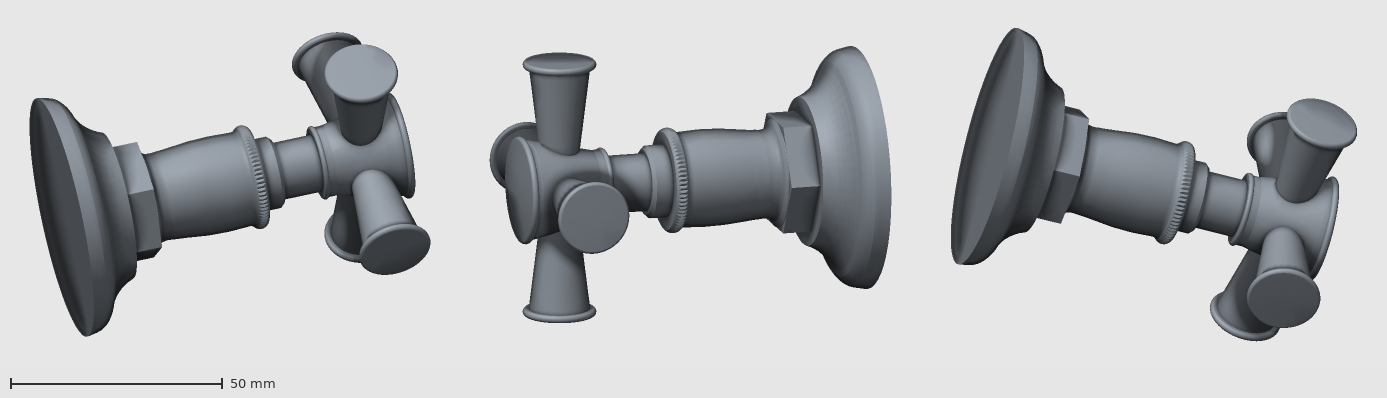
import cadquery as cq
import math


FLANGE_TOP = 13.6
NUT_TOP = 20.5
SLEEVE_TOP = 44.7
RING_TOP = 47.8
COLLAR_TOP = 52.6
HUB_BOTTOM = 62.1
ARM_AXIS = 73.2
HUB_RIM_BOTTOM = 81.5
HUB_RIM_TOP = 83.2
OVERALL_LENGTH = 84.4

FLANGE_RADIUS = 28.8
FLANGE_NECK_RADIUS = 17.6
NUT_CORNER_RADIUS = 14.85
RING_FACE_RADIUS = 11.65
RING_RADIUS = 12.5
COLLAR_RADIUS = 8.6
COLLAR_CHAMFER = 0.85
STEM_RADIUS = 6.8
HUB_LIP_RADIUS = 8.9
HUB_NECK_RADIUS = 8.4
HUB_TOP_RADIUS = 11.9
HUB_RIM_RADIUS = 12.7

FLANGE_SIDE_MIDDLE = (28.4, 1.85)
FLANGE_SIDE_TOP = (27.9, 3.6)
FLANGE_SHOULDER_MIDDLE = (26.9, 4.9)
FLANGE_SHOULDER_TOP = (25.4, 6.0)
FLANGE_HOLLOW_START = (24.0, 6.6)
FLANGE_HOLLOW_MIDDLE = (19.9, 9.6)
SLEEVE_FOOT = (12.8, 20.7)
SLEEVE_FLARE_START = (11.7, 21.3)
SLEEVE_FLARE_MIDDLE = (11.0, 21.8)
SLEEVE_FLARE_END = (10.6, 22.5)
SLEEVE_WAIST = (10.5, 23.6)
SLEEVE_WAIST_END = (10.55, 24.6)
SLEEVE_BELLY_START = (10.9, 28.6)
SLEEVE_BELLY = (11.6, 36.7)
SLEEVE_BELLY_END = (11.3, 43.5)
SLEEVE_COVE_MIDDLE = (11.4, 44.2)
HUB_NECK_START = 63.4
HUB_NECK_END = 65.1
HUB_BODY_TOP = (11.1, 77.5)
HUB_FLARE_TOP = (11.7, 80.25)

TOOTH_COUNT = 72
TOOTH_DEPTH = 0.4

ARM_COUNT = 4
ARM_START = 5.9
ARM_SPAN = 62.2
ARM_TIP = ARM_SPAN / 2
ARM_CAP_START = 29.2
ARM_CAP_EDGE = 30.9
ARM_CAP_RADIUS = 8.7
ARM_CAP_FACE_RADIUS = 8.1
ARM_WIDE_RADIUS = 7.25
ARM_ROOT_RADIUS = 4.4


def revolve_about_stem(profile):
    """Close a profile that starts and ends on the Y axis and turn it about that axis."""
    return profile.close().revolve(360, (0, 0, 0), (0, 1, 0))


def dome_drop(rim_radius, dome_height):
    """Drop of a spherical dome below its crown, halfway from the axis to its rim."""
    sphere_radius = (rim_radius**2 + dome_height**2) / (2 * dome_height)
    return sphere_radius - math.sqrt(sphere_radius**2 - (rim_radius / 2) ** 2)


def make_flange():
    """Escutcheon: a rounded rim that sweeps up in a hollow curve to a narrow neck."""
    profile = (
        cq.Workplane("XY")
        .lineTo(FLANGE_RADIUS, 0)
        .threePointArc(FLANGE_SIDE_MIDDLE, FLANGE_SIDE_TOP)
        .threePointArc(FLANGE_SHOULDER_MIDDLE, FLANGE_SHOULDER_TOP)
        .lineTo(*FLANGE_HOLLOW_START)
        .threePointArc(FLANGE_HOLLOW_MIDDLE, (FLANGE_NECK_RADIUS, FLANGE_TOP))
        .lineTo(0, FLANGE_TOP)
    )
    return revolve_about_stem(profile)


def make_nut():
    """Hexagonal nut with two of its corners on the X axis."""
    height = NUT_TOP - FLANGE_TOP
    return (
        cq.Workplane("XZ", origin=(0, FLANGE_TOP, 0))
        .polygon(6, 2 * NUT_CORNER_RADIUS)
        .extrude(-height)
    )


def make_sleeve():
    """Barrel-shaped sleeve: a flared foot, a waist, a full belly and a small flare under the ring."""
    profile = (
        cq.Workplane("XY")
        .moveTo(0, NUT_TOP)
        .lineTo(SLEEVE_FOOT[0], NUT_TOP)
        .lineTo(*SLEEVE_FOOT)
        .lineTo(*SLEEVE_FLARE_START)
        .threePointArc(SLEEVE_FLARE_MIDDLE, SLEEVE_FLARE_END)
        .threePointArc(SLEEVE_WAIST, SLEEVE_WAIST_END)
        .lineTo(*SLEEVE_BELLY_START)
        .threePointArc(SLEEVE_BELLY, SLEEVE_BELLY_END)
        .threePointArc(SLEEVE_COVE_MIDDLE, (RING_FACE_RADIUS, SLEEVE_TOP))
        .lineTo(0, SLEEVE_TOP)
    )
    return revolve_about_stem(profile)


def make_knurled_ring():
    """Ring with a rounded edge, trimmed to V-shaped teeth all round."""
    width = RING_TOP - SLEEVE_TOP
    profile = (
        cq.Workplane("XY")
        .moveTo(0, SLEEVE_TOP)
        .lineTo(RING_FACE_RADIUS, SLEEVE_TOP)
        .threePointArc((RING_RADIUS, SLEEVE_TOP + width / 2), (RING_FACE_RADIUS, RING_TOP))
        .lineTo(0, RING_TOP)
    )
    ring = revolve_about_stem(profile)

    star = []
    for step in range(2 * TOOTH_COUNT):
        radius = RING_RADIUS if step % 2 == 0 else RING_RADIUS - TOOTH_DEPTH
        angle = math.pi * step / TOOTH_COUNT
        star.append((radius * math.cos(angle), radius * math.sin(angle)))
    teeth = cq.Workplane("XZ", origin=(0, SLEEVE_TOP, 0)).polyline(star).close().extrude(-width)
    return ring.intersect(teeth)


def make_collar_and_stem():
    """Chamfered collar above the ring, and the stem that runs on into the hub."""
    profile = (
        cq.Workplane("XY")
        .moveTo(0, RING_TOP)
        .lineTo(COLLAR_RADIUS, RING_TOP)
        .lineTo(COLLAR_RADIUS, COLLAR_TOP - COLLAR_CHAMFER)
        .lineTo(COLLAR_RADIUS - COLLAR_CHAMFER, COLLAR_TOP)
        .lineTo(STEM_RADIUS, COLLAR_TOP)
        .lineTo(STEM_RADIUS, HUB_BOTTOM)
        .lineTo(0, HUB_BOTTOM)
    )
    return revolve_about_stem(profile)


def make_hub():
    """Handle hub: a rounded lip, a neck, a widening body, and a rounded rim around a shallow dome."""
    crown_drop = dome_drop(HUB_TOP_RADIUS, OVERALL_LENGTH - HUB_RIM_TOP)
    lip_middle = (HUB_BOTTOM + HUB_NECK_START) / 2
    rim_middle = (HUB_RIM_BOTTOM + HUB_RIM_TOP) / 2
    profile = (
        cq.Workplane("XY")
        .moveTo(0, HUB_BOTTOM)
        .lineTo(HUB_NECK_RADIUS, HUB_BOTTOM)
        .threePointArc((HUB_LIP_RADIUS, lip_middle), (HUB_NECK_RADIUS, HUB_NECK_START))
        .lineTo(HUB_NECK_RADIUS, HUB_NECK_END)
        .lineTo(*HUB_BODY_TOP)
        .lineTo(*HUB_FLARE_TOP)
        .lineTo(HUB_TOP_RADIUS, HUB_RIM_BOTTOM)
        .threePointArc((HUB_RIM_RADIUS, rim_middle), (HUB_TOP_RADIUS, HUB_RIM_TOP))
        .threePointArc((HUB_TOP_RADIUS / 2, OVERALL_LENGTH - crown_drop), (0, OVERALL_LENGTH))
    )
    return revolve_about_stem(profile)


def make_arm():
    """One tapered arm along +X, ending in a round-edged cap with a faintly domed face."""
    crown_drop = dome_drop(ARM_CAP_FACE_RADIUS, ARM_TIP - ARM_CAP_EDGE)
    cap_middle = (ARM_CAP_START + ARM_CAP_EDGE) / 2
    return (
        cq.Workplane("XZ", origin=(0, ARM_AXIS, 0))
        .moveTo(ARM_START, 0)
        .lineTo(ARM_START, ARM_ROOT_RADIUS)
        .lineTo(ARM_CAP_START, ARM_WIDE_RADIUS)
        .lineTo(ARM_CAP_START, ARM_CAP_FACE_RADIUS)
        .threePointArc((cap_middle, ARM_CAP_RADIUS), (ARM_CAP_EDGE, ARM_CAP_FACE_RADIUS))
        .threePointArc((ARM_TIP - crown_drop, ARM_CAP_FACE_RADIUS / 2), (ARM_TIP, 0))
        .close()
        .revolve(360, (0, 0, 0), (1, 0, 0))
    )


result = make_flange()
for section in (make_nut(), make_sleeve(), make_knurled_ring(), make_collar_and_stem(), make_hub()):
    result = result.union(section)

arm = make_arm()
for index in range(ARM_COUNT):
    result = result.union(arm.rotate((0, 0, 0), (0, 1, 0), index * 360 / ARM_COUNT))